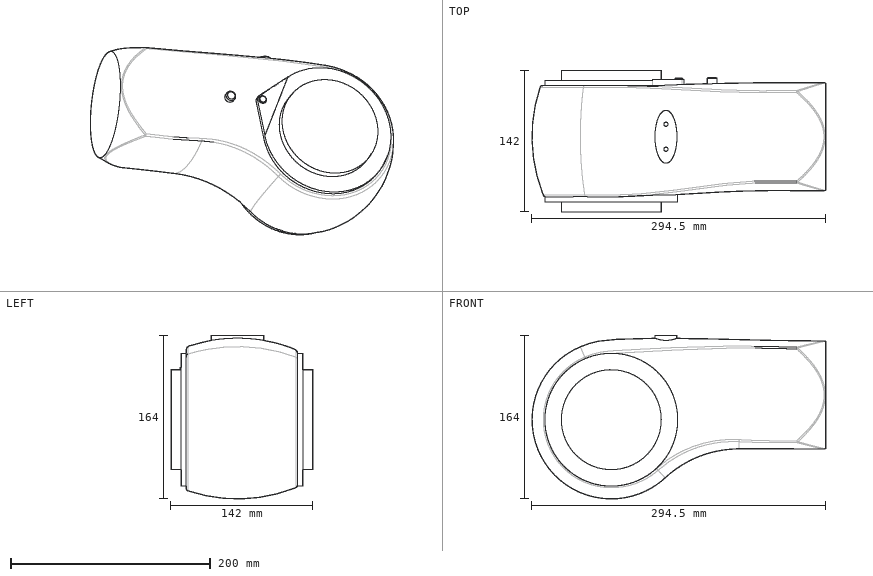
import cadquery as cq
import math


head_radius = 79.5
head_half_width = 56.0
arm_end_x = 215.0
arm_radius = 54.2
arm_center_y = 4.5
arm_center_z = 24.7
arm_top_z = arm_center_z + arm_radius
arm_bottom_z = arm_center_z - arm_radius

crest_z = 80.7
top_blend_angle = 113.0
throat_end_x = 127.8
end_overrun = 6.0

crown_radius = 156.0
rim_half_width = 70.7
rim_depth = 23.5
core_inset = 14.7

head_face_half_height = 67.7
arm_face_half_height = 45.3
arm_face_sag = 7.7
blend_start_x = 0.0
blend_end_x = 159.0
side_sections = 14
flat_sag = 0.03
side_reach = 1.5
edge_fillet = 3.0

cone_length = 59.0
cone_slope = 0.42
end_radius = 53.5

flange_radius = 66.5
flange_half_width = 61.0
trunnion_diameter = 100.0
trunnion_half_width = 71.0

pad_x = 54.8
pad_length = 53.0
pad_width = 22.0
pad_top_z = 84.5
pad_bottom_z = 70.7
pad_hole_diameter = 4.0
pad_hole_spacing = 25.0
pad_hole_depth = 4.7

ear_radius = 5.3
ear_face_y = 61.8
side_root_y = 50.0
button_x = 67.7
button_diameter = 8.0
button_height = 1.5
button_chamfer = 1.0
stud_x = 101.0
stud_diameter = 10.0
stud_face_y = 64.0
stud_chamfer = 1.2


def head_point(degrees):
    angle = math.radians(degrees)
    return head_radius * math.cos(angle), head_radius * math.sin(angle)


def outline(start_x):
    """Open side outline from the arm top, around the head, to the arm underside."""
    drop = -arm_bottom_z
    throat_radius = (throat_end_x**2 + drop**2 - head_radius**2) / (2 * (head_radius - drop))
    throat_center_z = arm_bottom_z - throat_radius
    throat_angle = math.degrees(math.atan2(throat_center_z, throat_end_x))
    middle_angle = math.radians((180 + throat_angle + 90) / 2)
    throat_middle = (
        throat_end_x + throat_radius * math.cos(middle_angle),
        throat_center_z + throat_radius * math.sin(middle_angle),
    )
    blend_cos = math.cos(math.radians(top_blend_angle))
    blend_sin = math.sin(math.radians(top_blend_angle))
    crest_radius = (crest_z - head_radius * blend_sin) / (1 - blend_sin)
    crest_center_x = (head_radius - crest_radius) * blend_cos
    crest_center_z = crest_z - crest_radius
    crest_angle = math.radians((top_blend_angle + 90) / 2)
    crest_middle = (
        crest_center_x + crest_radius * math.cos(crest_angle),
        crest_center_z + crest_radius * math.sin(crest_angle),
    )
    return (
        cq.Workplane("XZ")
        .moveTo(start_x, arm_top_z)
        .lineTo(arm_end_x, arm_top_z)
        .spline(
            [(crest_center_x, crest_z), crest_middle, head_point(top_blend_angle)],
            tangents=[(-1, 0), (-blend_sin, blend_cos)],
            includeCurrent=True,
        )
        .threePointArc(head_point(180), head_point(throat_angle))
        .threePointArc(throat_middle, (throat_end_x, arm_bottom_z))
        .lineTo(start_x, arm_bottom_z)
    )


def crowned_body():
    """Outline solid whose rim is an arc across the width."""
    start_x = arm_end_x + end_overrun
    sag = crown_radius - math.sqrt(crown_radius**2 - rim_half_width**2)
    rim = (
        cq.Workplane("YZ", origin=(start_x, arm_center_y, arm_top_z))
        .moveTo(-rim_half_width, -rim_depth)
        .lineTo(-rim_half_width, -sag)
        .threePointArc((0, 0), (rim_half_width, -sag))
        .lineTo(rim_half_width, -rim_depth)
        .close()
        .sweep(outline(start_x))
    )
    core = (
        outline(start_x + core_inset)
        .close()
        .offset2D(-core_inset)
        .extrude(rim_half_width, both=True)
        .translate((0, arm_center_y, 0))
    )
    return rim.union(core)


def side_section(x, blend):
    """Closed YZ section: blend 0 is the flat-sided head, blend 1 the bulged arm."""
    def mix(head_value, arm_value):
        return head_value + (arm_value - head_value) * blend

    half_height = mix(head_face_half_height, arm_face_half_height)
    sag = mix(flat_sag, arm_face_sag)
    radius = (half_height**2 + sag**2) / (2 * sag)
    reach = half_height * side_reach
    fall = radius - math.sqrt(radius**2 - reach**2)
    half_width = mix(head_half_width, arm_radius)
    center = mix(0, arm_center_y), mix(0, arm_center_z)
    return (
        cq.Workplane("YZ", origin=(x, *center))
        .moveTo(-half_width + fall, -reach)
        .lineTo(half_width - fall, -reach)
        .threePointArc((half_width, 0), (half_width - fall, reach))
        .lineTo(-half_width + fall, reach)
        .threePointArc((-half_width, 0), (-half_width + fall, -reach))
        .close()
        .val()
    )


def side_envelope():
    start_x = -head_radius - end_overrun
    end_x = arm_end_x + end_overrun
    sections = []
    for step in range(side_sections + 1):
        x = start_x + (end_x - start_x) * step / side_sections
        t = min(max((x - blend_start_x) / (blend_end_x - blend_start_x), 0), 1)
        sections.append(side_section(x, t * t * (3 - 2 * t)))
    return cq.Workplane(cq.Solid.makeLoft(sections))


def end_trim():
    """Material outside the end cone."""
    size = 4 * arm_radius
    blank = cq.Workplane("YZ", origin=(arm_end_x - cone_length, arm_center_y, arm_center_z))
    block = blank.rect(size, size).extrude(cone_length + 2 * end_overrun)
    cone = cq.Solid.makeCone(
        end_radius + cone_slope * cone_length,
        end_radius,
        cone_length,
        pnt=cq.Vector(arm_end_x - cone_length, arm_center_y, arm_center_z),
        dir=cq.Vector(1, 0, 0),
    )
    return block.cut(cq.Workplane(cone))


def ridge_edges(body):
    """Edges where the rim, side faces and end cone meet; not the smooth seams or the end circle."""
    ridges = []
    for edge in body.edges().vals():
        box = edge.BoundingBox()
        on_end_cone = box.xmax > arm_end_x - cone_length / 2
        crosses_rim = box.ymin < 0 < box.ymax and not on_end_cone
        on_end_face = box.xmax > arm_end_x - edge_fillet / 10
        if not crosses_rim and not on_end_face:
            ridges.append(edge)
    return ridges


def disc(radius, half_width):
    return cq.Workplane("XZ").circle(radius).extrude(half_width, both=True)


def pad():
    half_hole = pad_hole_spacing / 2
    return (
        cq.Workplane("XY", origin=(pad_x, arm_center_y, pad_bottom_z))
        .ellipse(pad_width / 2, pad_length / 2)
        .extrude(pad_top_z - pad_bottom_z)
        .faces(">Z")
        .workplane(origin=(pad_x, arm_center_y, pad_top_z))
        .pushPoints([(0, -half_hole), (0, half_hole)])
        .hole(pad_hole_diameter, pad_hole_depth)
    )


def stud(x, diameter, face_y, chamfer):
    return (
        cq.Workplane("XZ", origin=(x, side_root_y, arm_center_z))
        .circle(diameter / 2)
        .extrude(side_root_y - face_y)
        .faces(">Y")
        .chamfer(chamfer)
    )


def side_ear():
    """Ear around the button whose straight edges run tangent to the flange."""
    distance = math.hypot(button_x, arm_center_z)
    middle_angle = math.atan2(arm_center_z, button_x)
    half_angle = math.acos((flange_radius - ear_radius) / distance)

    def around(center, radius, angle):
        return center[0] + radius * math.cos(angle), center[1] + radius * math.sin(angle)

    joint = (0, 0)
    button = (button_x, arm_center_z)
    upper = middle_angle + half_angle
    lower = middle_angle - half_angle
    return (
        cq.Workplane("XZ", origin=(0, side_root_y, 0))
        .moveTo(*around(joint, flange_radius, upper))
        .lineTo(*around(button, ear_radius, upper))
        .threePointArc(around(button, ear_radius, middle_angle), around(button, ear_radius, lower))
        .lineTo(*around(joint, flange_radius, lower))
        .close()
        .extrude(side_root_y - ear_face_y)
    )


housing = crowned_body().intersect(side_envelope())
housing = housing.cut(end_trim())
housing = housing.newObject(ridge_edges(housing)).fillet(edge_fillet)
result = housing
for feature in (
    disc(flange_radius, flange_half_width),
    disc(trunnion_diameter / 2, trunnion_half_width),
    pad(),
    side_ear(),
    stud(button_x, button_diameter, ear_face_y + button_height, button_chamfer),
    stud(stud_x, stud_diameter, stud_face_y, stud_chamfer),
):
    result = result.union(feature)